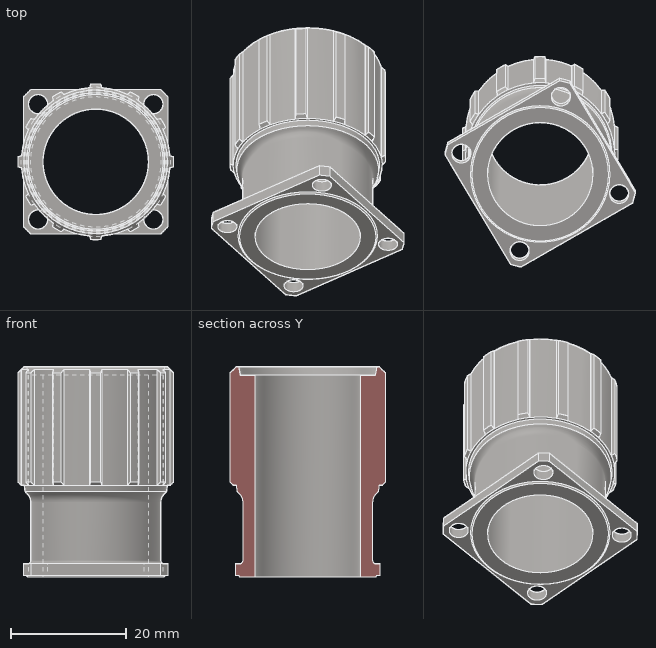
import cadquery as cq
import math

height = 36.3
bore_radius = 9.08

pad_radius = 12.0
pad_height = 0.25
flange_side = 24.97
flange_top = 2.32
flange_corner_chamfer = 1.3
hole_spacing = 19.9
hole_diameter = 3.25

neck_radius = 11.25
neck_foot_fillet = 0.5
flare_radius = 2.0
flare_start = 12.92
flare_angle = math.radians(45)
collar_top_radius = 12.38
collar_bottom_radius = 12.25

sleeve_bottom = 15.83
sleeve_radius = 12.85
sleeve_top_radius = 12.38
rim_recess_top_radius = 11.9
rim_recess_floor_radius = 11.6
rim_recess_depth = 1.5

rib_count = 12
rib_tip_radius = 26.9 / 2
rib_tip_width = 1.7
rib_root_width = 2.1
rib_bottom_chamfer = 0.58


def flange():
    """Square plate with cut corners on a round pad with a 45 degree edge."""
    plate = (
        cq.Workplane("XY", origin=(0, 0, pad_height))
        .rect(flange_side, flange_side)
        .extrude(flange_top - pad_height)
        .edges("|Z")
        .chamfer(flange_corner_chamfer)
    )
    pad = (
        cq.Workplane("XY")
        .circle(pad_radius - pad_height)
        .workplane(offset=pad_height)
        .circle(pad_radius)
        .loft(ruled=True)
    )
    return plate.union(pad)


def neck_and_collar():
    """Turned neck that flares through an arc and a tangent cone into a slightly tapered collar."""
    foot_radius = neck_radius + neck_foot_fillet
    foot_mid = neck_foot_fillet * (1 - math.cos(math.radians(45)))
    foot_end = flange_top + neck_foot_fillet

    flare_center = neck_radius + flare_radius
    flare_mid = (
        flare_center - flare_radius * math.cos(flare_angle / 2),
        flare_start + flare_radius * math.sin(flare_angle / 2),
    )
    flare_end = (
        flare_center - flare_radius * math.cos(flare_angle),
        flare_start + flare_radius * math.sin(flare_angle),
    )
    collar_bottom = flare_end[1] + (collar_bottom_radius - flare_end[0]) / math.tan(flare_angle)

    profile = (
        cq.Workplane("XZ")
        .moveTo(0, pad_height)
        .lineTo(foot_radius, pad_height)
        .lineTo(foot_radius, flange_top)
        .threePointArc((neck_radius + foot_mid, flange_top + foot_mid), (neck_radius, foot_end))
        .lineTo(neck_radius, flare_start)
        .threePointArc(flare_mid, flare_end)
        .lineTo(collar_bottom_radius, collar_bottom)
        .lineTo(collar_top_radius, sleeve_bottom)
        .lineTo(0, sleeve_bottom)
        .close()
    )
    return profile.revolve(360, (0, 0, 0), (0, 1, 0))


def ribbed_sleeve():
    """Cylinder with grip ribs, trimmed to 45 degree slopes at both ends."""
    sleeve_height = height - sleeve_bottom
    base = cq.Workplane("XY", origin=(0, 0, sleeve_bottom))
    blank = base.circle(sleeve_radius).extrude(sleeve_height)

    rib = (
        base
        .polyline([
            (0, -rib_root_width / 2),
            (sleeve_radius, -rib_root_width / 2),
            (rib_tip_radius, -rib_tip_width / 2),
            (rib_tip_radius, rib_tip_width / 2),
            (sleeve_radius, rib_root_width / 2),
            (0, rib_root_width / 2),
        ])
        .close()
        .extrude(sleeve_height)
    )
    for index in range(rib_count):
        blank = blank.union(rib.rotate((0, 0, 0), (0, 0, 1), index * 360 / rib_count))

    top_slope_height = rib_tip_radius - sleeve_top_radius
    envelope = (
        cq.Workplane("XZ")
        .moveTo(0, sleeve_bottom)
        .lineTo(rib_tip_radius - rib_bottom_chamfer, sleeve_bottom)
        .lineTo(rib_tip_radius, sleeve_bottom + rib_bottom_chamfer)
        .lineTo(rib_tip_radius, height - top_slope_height)
        .lineTo(sleeve_top_radius, height)
        .lineTo(0, height)
        .close()
        .revolve(360, (0, 0, 0), (0, 1, 0))
    )
    return blank.intersect(envelope)


def mounting_holes():
    """Four holes through the flange corners."""
    return (
        cq.Workplane("XY")
        .rect(hole_spacing, hole_spacing, forConstruction=True)
        .vertices()
        .circle(hole_diameter / 2)
        .extrude(flange_top)
    )


def bore_and_recess():
    """Through bore opening into a slightly tapered recess in the rim."""
    bore = cq.Workplane("XY").circle(bore_radius).extrude(height)
    recess = (
        cq.Workplane("XY", origin=(0, 0, height - rim_recess_depth))
        .circle(rim_recess_floor_radius)
        .workplane(offset=rim_recess_depth)
        .circle(rim_recess_top_radius)
        .loft(ruled=True)
    )
    return bore.union(recess)


body = flange().union(neck_and_collar()).union(ribbed_sleeve())
result = body.cut(mounting_holes()).cut(bore_and_recess())